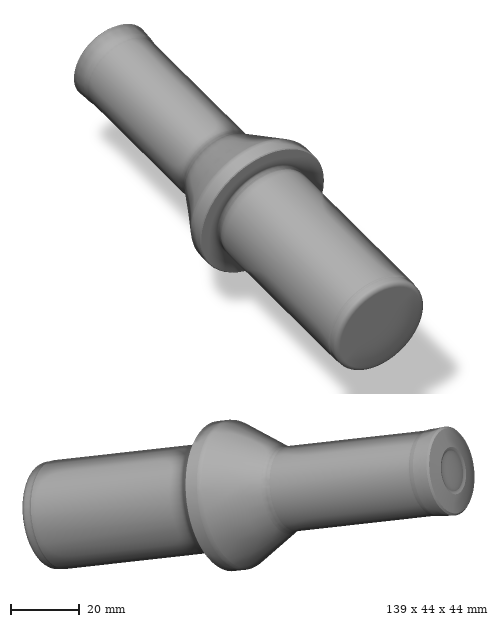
import cadquery as cq
import math

OVERALL_LENGTH = 139.0

HEAD_LENGTH = 6.0
HEAD_DIAMETER = 26.1
HEAD_REAR_DIAMETER = 25.6
FACE_DIAMETER = 25.0
FACE_CONE_DEPTH = 0.5
HEAD_CORNER_X = 1.1
RECESS_DIAMETER = 13.9
RECESS_FLOOR_DIAMETER = 12.0
RECESS_DEPTH = 0.4

NECK_DIAMETER = 25.0
NECK_START_X = 7.5
FLANGE_DIAMETER = 44.0
FLANGE_START_X = 73.8
FLANGE_END_X = 78.7
CONE_ANGLE = 29.0
CONE_ROOT_FILLET = 4.7
FLANGE_FRONT_FILLET = 2.8
FLANGE_REAR_CHAMFER = 0.3

SHANK_DIAMETER = 32.0
RELIEF_DIAMETER = 31.5
RELIEF_END_X = 79.9
RELIEF_FILLET = 0.4
SHANK_START_X = 80.8
SHANK_END_X = 135.4
END_BAND_START_X = 135.8
END_BAND_ROOT_FILLET = 0.7
END_FILLET = 1.4

CONE_HEIGHT = (FLANGE_DIAMETER - NECK_DIAMETER) / 2
CONE_START_X = FLANGE_START_X - CONE_HEIGHT / math.tan(math.radians(CONE_ANGLE))


def revolve_about_x(stations):
    """Turn a closed profile given as (x, diameter) stations around the X axis."""
    points = [(x, diameter / 2) for x, diameter in stations]
    return cq.Workplane("XY").polyline(points).close().revolve(360, (0, 0, 0), (1, 0, 0))


def rims_at(body, x, diameter):
    """Select the circular edge of a given diameter at station x."""
    tolerance = 0.01
    return body.edges("%CIRCLE").filter(
        lambda edge: abs(edge.Center().x - x) < tolerance
        and abs(edge.radius() - diameter / 2) < tolerance
    )


def make_cutting_head():
    """Head with a slightly conical face, a shallow central recess and back taper."""
    return revolve_about_x([
        (RECESS_DEPTH, 0),
        (RECESS_DEPTH, RECESS_FLOOR_DIAMETER),
        (0, RECESS_DIAMETER),
        (FACE_CONE_DEPTH, FACE_DIAMETER),
        (HEAD_CORNER_X, HEAD_DIAMETER),
        (HEAD_LENGTH, HEAD_REAR_DIAMETER),
        (HEAD_LENGTH, 0),
    ])


def make_holder():
    """Neck, conical flange and shank in one turned body behind the head."""
    holder = revolve_about_x([
        (HEAD_LENGTH, 0),
        (HEAD_LENGTH, HEAD_REAR_DIAMETER),
        (NECK_START_X, NECK_DIAMETER),
        (CONE_START_X, NECK_DIAMETER),
        (FLANGE_START_X, FLANGE_DIAMETER),
        (FLANGE_END_X, FLANGE_DIAMETER),
        (FLANGE_END_X, RELIEF_DIAMETER),
        (RELIEF_END_X, RELIEF_DIAMETER),
        (SHANK_START_X, SHANK_DIAMETER),
        (SHANK_END_X, SHANK_DIAMETER),
        (END_BAND_START_X, RELIEF_DIAMETER),
        (OVERALL_LENGTH, RELIEF_DIAMETER),
        (OVERALL_LENGTH, 0),
    ])
    holder = rims_at(holder, CONE_START_X, NECK_DIAMETER).fillet(CONE_ROOT_FILLET)
    holder = rims_at(holder, FLANGE_START_X, FLANGE_DIAMETER).fillet(FLANGE_FRONT_FILLET)
    holder = rims_at(holder, FLANGE_END_X, FLANGE_DIAMETER).chamfer(FLANGE_REAR_CHAMFER)
    holder = rims_at(holder, FLANGE_END_X, RELIEF_DIAMETER).fillet(RELIEF_FILLET)
    holder = rims_at(holder, END_BAND_START_X, RELIEF_DIAMETER).fillet(END_BAND_ROOT_FILLET)
    return rims_at(holder, OVERALL_LENGTH, RELIEF_DIAMETER).fillet(END_FILLET)


cutting_head = make_cutting_head()
holder = make_holder()

result = cq.Compound.makeCompound([cutting_head.val(), holder.val()])